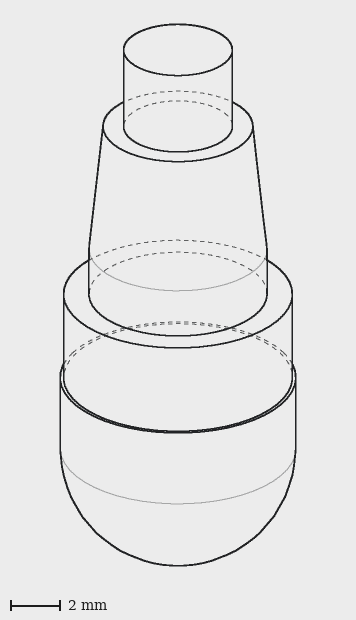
import cadquery as cq
import math

total_height = 23.0

cap_radius = 4.765
cap_top = 8.0

collar_radius = 4.625
collar_top = 11.82
neck_radius = 3.6
neck_top = 13.9
taper_top_radius = 3.03
taper_top = 19.5
pin_radius = 2.2


def make_cap():
    """Solid round-nosed cap, with its pole at the origin and a flat top face."""
    arc_middle = cap_radius * math.sin(math.radians(45))
    return (
        cq.Workplane("XZ")
        .threePointArc((arc_middle, cap_radius - arc_middle), (cap_radius, cap_radius))
        .lineTo(cap_radius, cap_top)
        .lineTo(0, cap_top)
        .close()
        .revolve(360, (0, 0), (0, 1))
    )


def make_stem():
    """Stepped stem that stands on the flat top of the cap."""
    return (
        cq.Workplane("XZ")
        .moveTo(0, cap_top)
        .lineTo(collar_radius, cap_top)
        .lineTo(collar_radius, collar_top)
        .lineTo(neck_radius, collar_top)
        .lineTo(neck_radius, neck_top)
        .lineTo(taper_top_radius, taper_top)
        .lineTo(pin_radius, taper_top)
        .lineTo(pin_radius, total_height)
        .lineTo(0, total_height)
        .close()
        .revolve(360, (0, 0), (0, 1))
    )


cap = make_cap()
stem = make_stem()

result = cq.Compound.makeCompound([cap.val(), stem.val()])